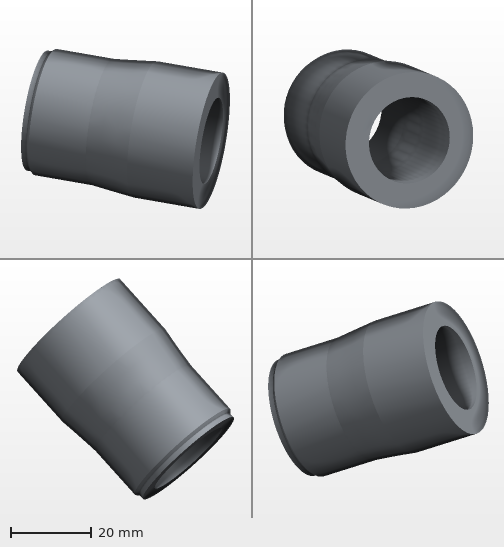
import cadquery as cq

total_length = 45.0
nose_length = 1.3
bevel_end = 2.15
neck_end = 16.95
body_start = 28.05

nose_diameter = 30.4
neck_diameter = 32.0
body_diameter = 34.5

bore_taper_start = 15.0

neck_bore_diameter = 22.5
body_bore_diameter = 21.82


def revolve_about_x(profile):
    """Turn (x, diameter) stations into a solid of revolution about the X axis."""
    first_x = profile[0][0]
    last_x = profile[-1][0]
    outline = [(x, diameter / 2) for x, diameter in profile]
    return (
        cq.Workplane("XY")
        .polyline([(first_x, 0)] + outline + [(last_x, 0)])
        .close()
        .revolve(360, (0, 0), (1, 0))
    )


outer_body = revolve_about_x([
    (0, nose_diameter),
    (nose_length, nose_diameter),
    (bevel_end, neck_diameter),
    (neck_end, neck_diameter),
    (body_start, body_diameter),
    (total_length, body_diameter),
])

bore = revolve_about_x([
    (0, neck_bore_diameter),
    (bore_taper_start, neck_bore_diameter),
    (body_start, body_bore_diameter),
    (total_length, body_bore_diameter),
])

result = outer_body.cut(bore)